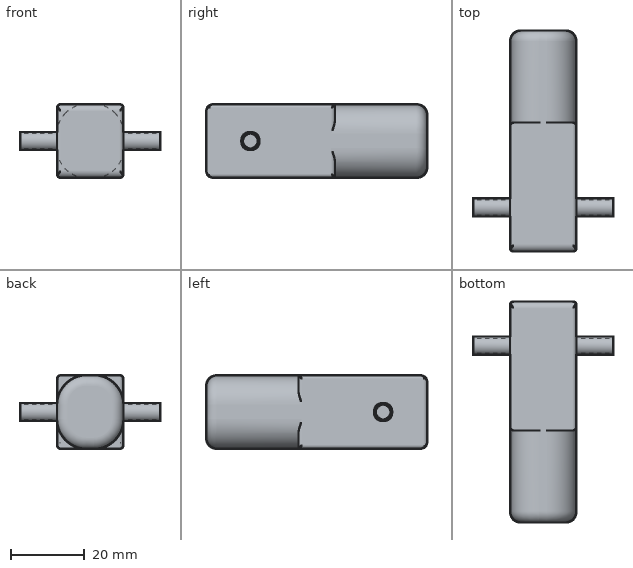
import cadquery as cq

total_length = 60.0
body_width = 18.0
body_height = 20.0
gearbox_length = 35.0

side_radius = 1.0
front_radius = 2.0
can_corner_radius = 8.0
can_end_radius = 2.95

shaft_span = 38.0
shaft_diameter = 5.0
bore_diameter = 4.0
shaft_setback = 12.0
stub_length = (shaft_span - body_width) / 2


def make_rounded_block(edges, radius):
    block = cq.Workplane("XY").box(
        body_width, gearbox_length, body_height, centered=(True, False, True)
    )
    return block.edges(edges).fillet(radius)


def make_gearbox():
    """Intersect blocks rounded along one axis each, so the roundings meet in mitred corners."""
    upright = make_rounded_block("|Z", side_radius)
    lengthwise = make_rounded_block("|Y", side_radius)
    crosswise = make_rounded_block("<Y and |X", front_radius)
    return upright.intersect(lengthwise).intersect(crosswise)


def make_motor_can():
    can = cq.Workplane("XY").box(
        body_width, total_length - gearbox_length + side_radius, body_height,
        centered=(True, False, True),
    )
    can = can.translate((0, gearbox_length - side_radius, 0))
    can = can.edges("|Y").fillet(can_corner_radius)
    return can.faces(">Y").edges().fillet(can_end_radius)


def make_shaft_stub(side):
    """Tube on the +X (side=1) or -X (side=-1) face, bored down to that face."""
    return (
        cq.Workplane("YZ", origin=(side * body_width / 2, shaft_setback, 0))
        .circle(shaft_diameter / 2)
        .circle(bore_diameter / 2)
        .extrude(side * stub_length)
    )


result = make_gearbox().union(make_motor_can())
for side in (-1, 1):
    result = result.union(make_shaft_stub(side))